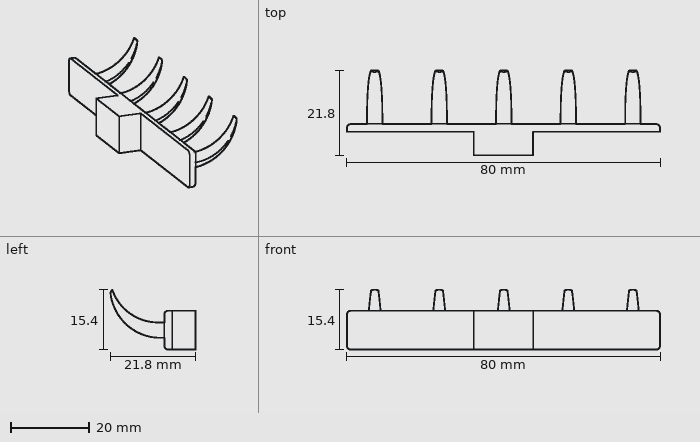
import cadquery as cq
import math

plate_length = 80.0
plate_thickness = 2.0
plate_height = 10.0
edge_radius = 1.0

block_width = 15.2
block_depth = 6.0

horn_count = 5
horn_pitch = 16.5
horn_row_offset = 0.1
horn_base_diameter = 4.0
horn_tip_width = 2.0
horn_section_count = 7

upper_straight = 1.6
upper_radius = 12.3
upper_end_height = 15.4
lower_straight = 1.0
lower_radius = 12.9
lower_end_height = 14.6

horn_axis_height = plate_height / 2
upper_start_height = horn_axis_height + horn_base_diameter / 2
lower_start_height = horn_axis_height - horn_base_diameter / 2


def make_plate():
    plate = cq.Workplane("XY").box(
        plate_length, plate_thickness, plate_height, centered=(True, False, False)
    )
    return plate.edges("|Y").fillet(edge_radius).faces(">Y").edges().fillet(edge_radius)


def make_block():
    block = cq.Workplane("XY").box(
        block_width, block_depth, plate_height, centered=(True, False, False)
    )
    return block.translate((0, -block_depth, 0))


def horn_edge_point(fraction, straight, radius, start_height, end_height):
    """Point (Y, Z) at a fraction of the bend, which ends at end_height."""
    full_bend = math.acos(1 - (end_height - start_height) / radius)
    bend = fraction * full_bend
    y = plate_thickness + straight + radius * math.sin(bend)
    z = start_height + radius * (1 - math.cos(bend))
    return y, z


def horn_section(center_y, center_z, depth_y, depth_z, width):
    """Elliptical wire spanning the horn between its lower and upper edges."""
    thickness = math.hypot(depth_y, depth_z)
    plane = cq.Plane(
        origin=(0, center_y, center_z),
        xDir=(1, 0, 0),
        normal=(0, depth_z, -depth_y),
    )
    return cq.Workplane(plane).ellipse(width / 2, thickness / 2).wires().val()


def make_horn():
    root_section = horn_section(
        plate_thickness / 2, horn_axis_height, 0, horn_base_diameter, horn_base_diameter
    )
    sections = [root_section]
    for index in range(horn_section_count):
        fraction = index / (horn_section_count - 1)
        upper_y, upper_z = horn_edge_point(
            fraction, upper_straight, upper_radius, upper_start_height, upper_end_height
        )
        lower_y, lower_z = horn_edge_point(
            fraction, lower_straight, lower_radius, lower_start_height, lower_end_height
        )
        width = horn_base_diameter - (horn_base_diameter - horn_tip_width) * fraction**2
        sections.append(
            horn_section(
                (upper_y + lower_y) / 2,
                (upper_z + lower_z) / 2,
                upper_y - lower_y,
                upper_z - lower_z,
                width,
            )
        )
    return cq.Workplane(cq.Solid.makeLoft(sections))


result = make_plate().union(make_block())
horn = make_horn()
for index in range(horn_count):
    horn_x = horn_row_offset + (index - (horn_count - 1) / 2) * horn_pitch
    result = result.union(horn.translate((horn_x, 0, 0)))